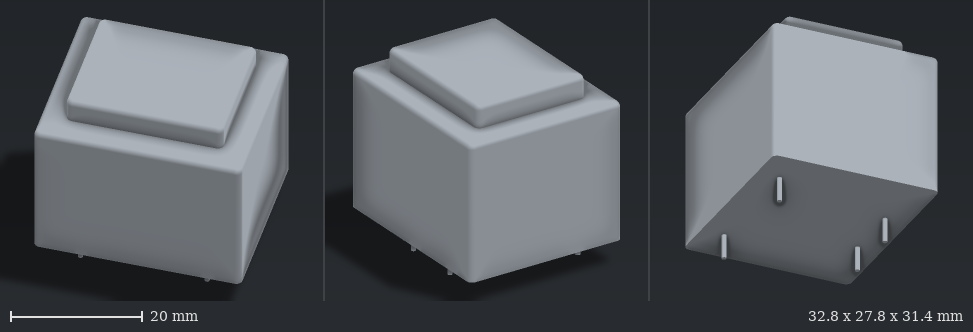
import cadquery as cq

housing_length = 32.8
housing_width = 27.8
housing_height = 23.4
block_inset = 4.0
block_height = 4.0
edge_radius = 1.0

pin_diameter = 0.8
pin_length = 4.0
pin_row_offset = 10.0
front_pin_offset = 10.0
back_pin_offset = front_pin_offset / 2

block_length = housing_length - 2 * block_inset
block_width = housing_width - 2 * block_inset


def rounded_box(length, width, height, base_z):
    """Box standing on base_z with rounded upright and top edges and a sharp bottom."""
    box = cq.Workplane("XY").workplane(offset=base_z).rect(length, width).extrude(height)
    return box.edges("|Z or >Z").fillet(edge_radius)


def make_housing():
    """Main box and raised block as one solid, with its underside at Z = 0."""
    main_box = rounded_box(housing_length, housing_width, housing_height, 0)
    raised_block = rounded_box(block_length, block_width, block_height, housing_height)
    return main_box.union(raised_block)


def make_pin(x, y):
    """Round pin hanging from the underside of the housing."""
    return cq.Workplane("XY").center(x, y).circle(pin_diameter / 2).extrude(-pin_length)


housing = make_housing()

pins = []
for row_y, pin_offset in [(-pin_row_offset, front_pin_offset), (pin_row_offset, back_pin_offset)]:
    for side in (-1, 1):
        pins.append(make_pin(side * pin_offset, row_y))

result = cq.Compound.makeCompound([housing.val(), *[pin.val() for pin in pins]])